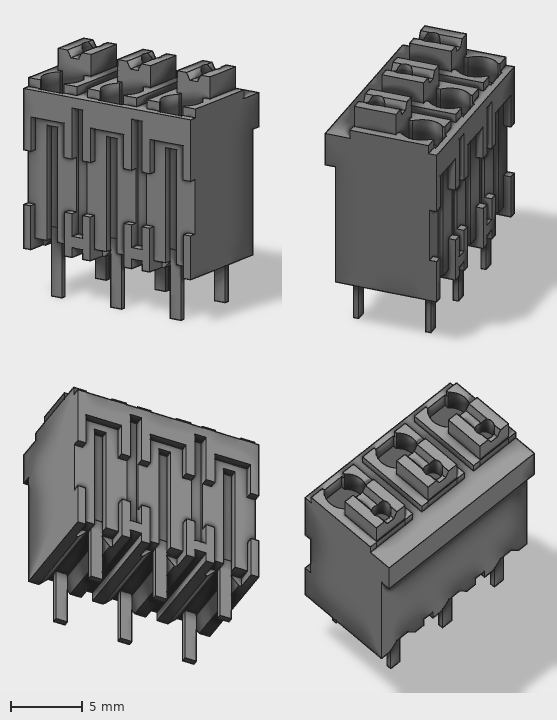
import cadquery as cq


POLE_COUNT = 3
PITCH = 5.08
POLE_XS = [(i - (POLE_COUNT - 1) / 2) * PITCH for i in range(POLE_COUNT)]
GAP_XS = [x + PITCH / 2 for x in POLE_XS[:-1]]

HOUSING_WIDTH = 14.25
HOUSING_DEPTH = 8.5
BODY_REAR_Y = 7.73
FLANGE_BOTTOM_Z = 9.2
DECK_Z = 11.71

TOWER_WIDTH = 4.19
TOWER_FRONT_Y = 0.63
TOWER_REAR_Y = 6.61
TOWER_TOP_Z = 12.35
GAP_WIDTH = PITCH - TOWER_WIDTH

BUTTON_WIDTH = 2.81
BUTTON_FRONT_Y = 3.37
BUTTON_REAR_Y = 6.55
BUTTON_TOP_Z = 13.96

NOTCH_BOTTOM_Z = 13.44
NOTCH_TOP_HALF = 0.61
NOTCH_BOTTOM_HALF = 0.31
DIMPLE_DIAMETER = 1.41
DIMPLE_Y = 5.55
DIMPLE_BOTTOM_Z = TOWER_TOP_Z

WELL_OFFSET_X = -0.05
WELL_DIAMETER = 3.04
WELL_Y = 1.94
WELL_FRONT_Y = 0.49
WELL_NECK_WIDTH = 2.0
WELL_FLOOR_Z = 10.47

RELIEF_DEPTH = 0.55
RELIEF_TOP_Z = 9.72
UPPER_RELIEF_WIDTH = BUTTON_WIDTH
LOWER_RELIEF_WIDTH = 2.88
UPPER_LEG_BOTTOM_Z = 7.2
LOWER_LEG_TOP_Z = 3.21

GAP_SLOT_DEPTH = 0.79
GAP_SLOT_BOTTOM_Z = 1.55
GAP_SLOT_TOP_Z = 10.94

PIN_WIDTH = 0.9
PIN_THICKNESS = 0.4
PIN_BOTTOM_Z = -3.49
PIN_TOP_Z = 1.6
PIN_FRONT_YS = [1.12, 6.61]
PIN_SLOT_TOP_Z = 9.15

FOOT_HEIGHT = 0.72
CHANNEL_BOTTOM_HALF = 1.24
CHANNEL_TOP_HALF = 0.52


def block(x, width, y_range, z_range):
    """Box centred on x, spanning the given Y and Z ranges."""
    y0, y1 = y_range
    z0, z1 = z_range
    return cq.Workplane("XY").box(width, y1 - y0, z1 - z0, centered=(True, False, False)).translate((x, y0, z0))


def profile_along_y(outline, y_range):
    """Closed XZ outline extruded over the given Y range."""
    y0, y1 = y_range
    return outline.close().extrude(-(y1 - y0)).translate((0, y0, 0))


def cylinder(x, y, diameter, z_range):
    """Upright cylinder over the given Z range."""
    z0, z1 = z_range
    return cq.Workplane("XY", origin=(x, y, z0)).circle(diameter / 2).extrude(z1 - z0)


def button_blank(x):
    """Plain button block, also the shape of its seat in the housing."""
    return block(x, BUTTON_WIDTH, (BUTTON_FRONT_Y, BUTTON_REAR_Y), (WELL_FLOOR_Z, BUTTON_TOP_Z))


def make_button(x):
    """Push button with a tapered notch and a round dimple."""
    notch_outline = (
        cq.Workplane("XZ")
        .moveTo(x - NOTCH_TOP_HALF, BUTTON_TOP_Z)
        .lineTo(x - NOTCH_BOTTOM_HALF, NOTCH_BOTTOM_Z)
        .lineTo(x + NOTCH_BOTTOM_HALF, NOTCH_BOTTOM_Z)
        .lineTo(x + NOTCH_TOP_HALF, BUTTON_TOP_Z)
    )
    notch = profile_along_y(notch_outline, (BUTTON_FRONT_Y, BUTTON_REAR_Y))
    dimple = cylinder(x, DIMPLE_Y, DIMPLE_DIAMETER, (DIMPLE_BOTTOM_Z, BUTTON_TOP_Z))
    return button_blank(x).cut(notch).cut(dimple)


def make_pin(x, front_y):
    """Straight flat solder pin."""
    return block(x, PIN_WIDTH, (front_y, front_y + PIN_THICKNESS), (PIN_BOTTOM_Z, PIN_TOP_Z))


def housing_blank():
    """Body with rear flange and the pole towers, trimmed to the housing width."""
    blank = block(0, HOUSING_WIDTH, (0, BODY_REAR_Y), (0, DECK_Z))
    blank = blank.union(block(0, HOUSING_WIDTH, (0, HOUSING_DEPTH), (FLANGE_BOTTOM_Z, DECK_Z)))
    for x in POLE_XS:
        blank = blank.union(block(x, TOWER_WIDTH, (TOWER_FRONT_Y, TOWER_REAR_Y), (0, TOWER_TOP_Z)))
    return blank.intersect(block(0, HOUSING_WIDTH, (0, HOUSING_DEPTH), (0, TOWER_TOP_Z)))


def wire_well(x):
    """Round well with a straight neck running from the front lip to the button."""
    z_range = (WELL_FLOOR_Z, TOWER_TOP_Z)
    well_x = x + WELL_OFFSET_X
    neck = block(well_x, WELL_NECK_WIDTH, (WELL_FRONT_Y, BUTTON_FRONT_Y), z_range)
    front_limit = block(well_x, WELL_DIAMETER, (TOWER_FRONT_Y, BUTTON_FRONT_Y), z_range)
    bore = cylinder(well_x, WELL_Y, WELL_DIAMETER, z_range).intersect(front_limit)
    return neck.union(bore)


def front_relief(x):
    """Recess in the front face: narrow above, full pole width in the middle, narrow below."""
    y_range = (0, RELIEF_DEPTH)
    upper = block(x, UPPER_RELIEF_WIDTH, y_range, (UPPER_LEG_BOTTOM_Z, RELIEF_TOP_Z))
    middle = block(x, PITCH, y_range, (LOWER_LEG_TOP_Z, UPPER_LEG_BOTTOM_Z))
    lower = block(x, LOWER_RELIEF_WIDTH, y_range, (0, LOWER_LEG_TOP_Z))
    return upper.union(middle).union(lower)


def pin_slot(x):
    """Upright slot down to the front pin, widened at its foot to the legs and to the back of the pin."""
    front_y = PIN_FRONT_YS[0]
    slot = block(x, PIN_WIDTH, (0, front_y), (0, PIN_SLOT_TOP_Z))
    foot = block(x, LOWER_RELIEF_WIDTH, (0, front_y + PIN_THICKNESS), (0, FOOT_HEIGHT))
    return slot.union(foot)


def underside_channel(x):
    """Trapezoidal channel under a pole, running from front to rear."""
    outline = cq.Workplane("XZ").polyline([
        (x - CHANNEL_BOTTOM_HALF, 0),
        (x - CHANNEL_TOP_HALF, FOOT_HEIGHT),
        (x + CHANNEL_TOP_HALF, FOOT_HEIGHT),
        (x + CHANNEL_BOTTOM_HALF, 0),
    ])
    return profile_along_y(outline, (0, BODY_REAR_Y))


def make_housing():
    """Housing with every pole's openings and the slots between poles."""
    body = housing_blank()
    for x in POLE_XS:
        body = body.cut(wire_well(x)).cut(button_blank(x))
        body = body.cut(front_relief(x)).cut(pin_slot(x)).cut(underside_channel(x))
        for front_y in PIN_FRONT_YS:
            body = body.cut(make_pin(x, front_y))
    for x in GAP_XS:
        body = body.cut(block(x, GAP_WIDTH, (0, GAP_SLOT_DEPTH), (GAP_SLOT_BOTTOM_Z, GAP_SLOT_TOP_Z)))
        body = body.cut(block(x, GAP_WIDTH, (0, BODY_REAR_Y), (0, FOOT_HEIGHT)))
    return body


housing = make_housing()
buttons = [make_button(x) for x in POLE_XS]
pins = [make_pin(x, front_y) for x in POLE_XS for front_y in PIN_FRONT_YS]

result = cq.Compound.makeCompound([
    housing.solids().val(),
    *[button.solids().val() for button in buttons],
    *[pin.solids().val() for pin in pins],
])